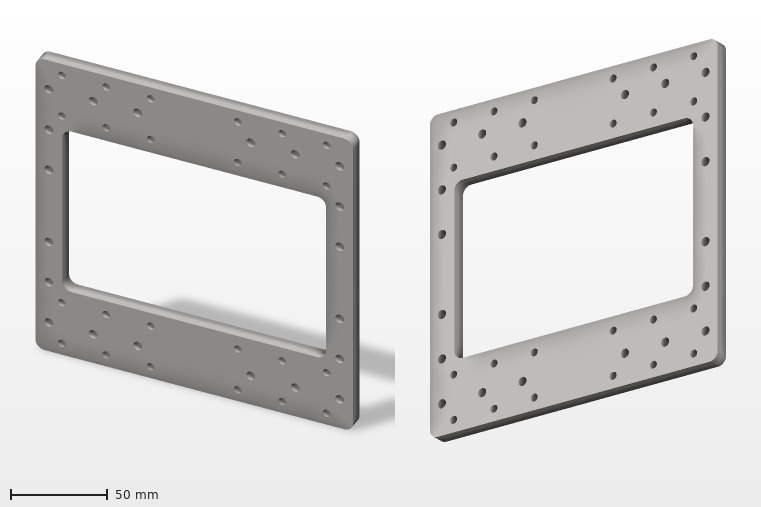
import cadquery as cq

side = 181.0
thickness = 7.8
corner_radius = 5.0

window_width = 150.0
window_height = 100.0
window_radius = 5.0

pitch = 25.3
small_diameter = 4.3
large_diameter = 5.0
small_outer_x = 75.5
small_outer_z = 83.5
large_outer_x = 82.9
large_outer_z = 72.5
rail_inner_z = 22.5
graze_depth = 0.04
large_inner_z = window_height / 2 - large_diameter / 2 + graze_depth
columns = 3


def mirrored(points):
    """Repeat first-quadrant points in all four quadrants."""
    return [(sx * x, sz * z) for x, z in points for sx in (-1, 1) for sz in (-1, 1)]


def plate_prism(width, height):
    """Rectangular block centred on the origin, through the plate thickness."""
    return cq.Workplane("XZ").rect(width, height).extrude(thickness / 2, both=True)


def through_holes(points, diameter):
    """Cylinders that pass through the plate along Y."""
    return cq.Workplane("XZ").pushPoints(points).circle(diameter / 2).extrude(thickness, both=True)


plate = plate_prism(side, side).edges("|Y").fillet(corner_radius)
window = plate_prism(window_width, window_height).edges("|Y").fillet(window_radius)

small_points = mirrored(
    [(small_outer_x - i * pitch, small_outer_z - j * pitch) for i in range(columns) for j in range(2)]
)

large_grid = [(large_outer_x - i * pitch, z) for i in range(columns) for z in (large_outer_z, large_inner_z)]
large_points = mirrored(large_grid + [(large_outer_x, rail_inner_z)])

result = (
    plate.cut(window)
    .cut(through_holes(small_points, small_diameter))
    .cut(through_holes(large_points, large_diameter))
)